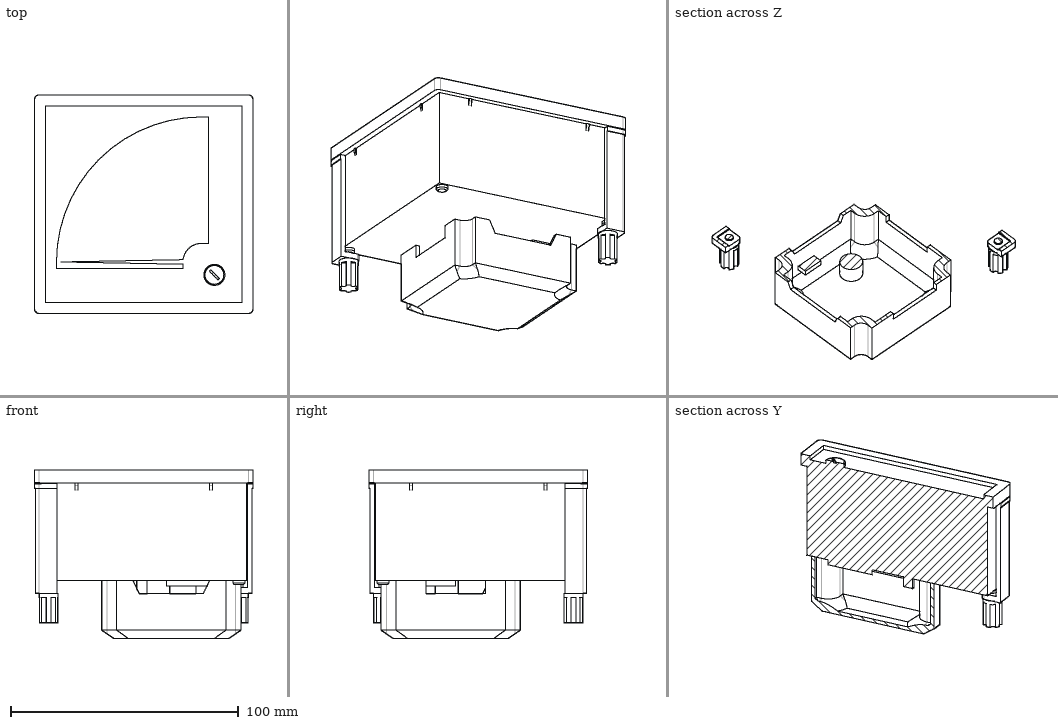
import cadquery as cq
import math


frame_side = 96.0
frame_height = 5.7
frame_corner_radius = 2.0
face_side = 86.3
face_depth = 1.9
housing_side = 90.0
housing_depth = 42.9

rib_width = 1.3
rib_height = 3.1
rib_flat_height = 1.2
rib_reach = 0.6
rib_offset = 29.6

dial_pivot = 25.3
dial_outer_radius = 63.6
dial_inner_radius = 8.2
dial_margin = 3.0
dial_depth = 0.3
pointer_length = 61.6
pointer_half_width = 1.2

adjuster_offset = 31.0
adjuster_radius = 4.6
adjuster_height = 1.7
adjuster_chamfer = 0.5
slot_length = 5.4
slot_width = 0.9
slot_depth = 0.6
slot_angle = -45.0

screw_offset = 41.8
seat_radius = 2.6
seat_height = 1.8
seat_chamfer = 0.7

stud_x = 6.4
stud_y = -13.8
stud_radius = 5.1
stud_length = 9.6
boss_offset = 23.4
boss_radius = 13.4
boss_height = 2.4
lug_x = -3.1
lug_y = -22.9
lug_thickness = 4.6
lug_width = 9.6
lug_height = 4.7

cover_side = 61.2
cover_offset = 12.1
cover_height = 25.4
cover_wall = 1.9
cover_bevel_height = 3.6
cover_bevel_inset = 5.4
cover_notch = 6.6
cover_notch_radius = 4.1
window_height = 5.8
window_top_width = 33.6
window_bottom_width = 28.0
far_window_width = 26.0
far_window_offset = 9.9

clamp_gap = 0.4
clamp_reach = 47.6
clamp_inner_face = 45.5
clamp_leg_end = 38.0
clamp_depth = 48.6
clamp_foot_thickness = 2.7
clamp_corner_radius = 1.6
clamp_foot_radius = 1.4
clamp_head_bottom = 2.5

screw_shaft_radius = 1.8
screw_collar_height = 1.7
knob_radius = 4.2
knob_length = 12.9
groove_count = 6
groove_radius = 1.2


def block(x_min, x_max, y_min, y_max, z_min, z_max):
    """Box given by its limits."""
    size = (x_max - x_min, y_max - y_min, z_max - z_min)
    return cq.Workplane("XY").box(*size, centered=False).translate((x_min, y_min, z_min))


def rod(x, y, radius, z_min, z_max):
    """Vertical cylinder between two heights."""
    return cq.Workplane("XY", origin=(x, y, z_min)).circle(radius).extrude(z_max - z_min)


def square_prism(side, z_min, z_max):
    """Square block centred on the Z axis."""
    return cq.Workplane("XY").workplane(offset=z_min).rect(side, side).extrude(z_max - z_min)



face_level = frame_height - face_depth


def make_scale_window():
    """Quarter ring around the dial pivot with straight margins, leaving the pointer standing."""
    pivot_x = dial_pivot
    pivot_y = -dial_pivot
    right = pivot_x + dial_margin
    bottom = pivot_y - dial_margin
    floor = cq.Workplane("XY").workplane(offset=face_level - dial_depth)
    diagonal = math.sqrt(0.5)
    window = (
        floor.moveTo(pivot_x - dial_outer_radius, bottom)
        .lineTo(pivot_x - dial_outer_radius, pivot_y)
        .threePointArc(
            (pivot_x - dial_outer_radius * diagonal, pivot_y + dial_outer_radius * diagonal),
            (pivot_x, pivot_y + dial_outer_radius),
        )
        .lineTo(right, pivot_y + dial_outer_radius)
        .lineTo(right, pivot_y + dial_inner_radius)
        .lineTo(pivot_x, pivot_y + dial_inner_radius)
        .threePointArc(
            (pivot_x - dial_inner_radius * diagonal, pivot_y + dial_inner_radius * diagonal),
            (pivot_x - dial_inner_radius, pivot_y),
        )
        .lineTo(pivot_x - dial_inner_radius, bottom)
        .close()
        .extrude(dial_depth)
    )
    pointer = (
        floor.moveTo(pivot_x - pointer_length, pivot_y)
        .lineTo(pivot_x, pivot_y + pointer_half_width)
        .lineTo(pivot_x, pivot_y - pointer_half_width)
        .close()
        .extrude(dial_depth)
    )
    return window.cut(pointer)


def make_adjuster():
    """Round zero adjuster with a screwdriver slot along the face diagonal."""
    top = face_level + adjuster_height
    head = rod(0, 0, adjuster_radius, face_level, top).faces(">Z").chamfer(adjuster_chamfer)
    slot = (
        cq.Workplane("XY").workplane(offset=top - slot_depth)
        .rect(slot_length, slot_width)
        .extrude(slot_depth)
        .rotate((0, 0, 0), (0, 0, 1), slot_angle)
    )
    return head.cut(slot).translate((adjuster_offset, -adjuster_offset, 0))


def make_stop_rib(offset):
    """Wedge on the -Y side that runs out downward into the housing wall."""
    wall = -housing_side / 2
    return (
        cq.Workplane("YZ", origin=(offset - rib_width / 2, 0, 0))
        .moveTo(wall, 0)
        .lineTo(wall - rib_reach, 0)
        .lineTo(wall - rib_reach, -rib_flat_height)
        .lineTo(wall, -rib_height)
        .close()
        .extrude(rib_width)
    )


def make_housing():
    frame = square_prism(frame_side, 0, frame_height).edges("|Z").fillet(frame_corner_radius)
    frame = frame.cut(square_prism(face_side, face_level, frame_height))
    housing = frame.union(square_prism(housing_side, -housing_depth, 0))
    housing = housing.cut(make_scale_window()).union(make_adjuster())
    for side_angle in (0, 90, 180, 270):
        for offset in (-rib_offset, rib_offset):
            rib = make_stop_rib(offset).rotate((0, 0, 0), (0, 0, 1), side_angle)
            housing = housing.union(rib)
    stud = rod(stud_x, stud_y, stud_radius, -housing_depth - stud_length, -housing_depth)
    boss = rod(boss_offset, -boss_offset, boss_radius, -housing_depth - boss_height, -housing_depth)
    lug = block(
        lug_x - lug_thickness, lug_x, lug_y - lug_width, lug_y,
        -housing_depth - lug_height, -housing_depth,
    )
    housing = housing.union(stud).union(boss).union(lug)
    for x in (-screw_offset, screw_offset):
        for y in (-screw_offset, screw_offset):
            seat = rod(x, y, seat_radius, -housing_depth - seat_height, -housing_depth)
            housing = housing.union(seat.faces("<Z").chamfer(seat_chamfer))
    return housing



bevel_angle = math.degrees(math.atan2(cover_bevel_inset, cover_bevel_height))


def bevelled_prism(outline, height, angle):
    """Extrude a sketch downward, with the last stretch tapered by the given angle."""
    straight_height = height - cover_bevel_height
    straight = cq.Workplane("XY").placeSketch(outline).extrude(-straight_height)
    tapered = (
        cq.Workplane("XY").workplane(offset=-straight_height)
        .placeSketch(outline)
        .extrude(-cover_bevel_height, taper=angle)
    )
    return straight.union(tapered)


def make_cover_form(inset):
    """Cover shape with every wall moved inward by the inset; its top is at Z = 0."""
    side = cover_side - 2 * inset
    height = cover_height - inset
    form = bevelled_prism(cq.Sketch().rect(side, side), height, bevel_angle)
    notch_side = 2 * (cover_notch + inset)
    notch_outline = (
        cq.Sketch().rect(notch_side, notch_side).vertices().fillet(cover_notch_radius + inset)
    )
    notch = bevelled_prism(notch_outline, height, -bevel_angle)
    corner = cover_side / 2 - inset
    for x in (-corner, corner):
        for y in (-corner, corner):
            form = form.cut(notch.translate((x, y, 0)))
    return form


def make_near_window():
    """Trapezoid opening through the -Y wall, at the cover's own centre."""
    return (
        cq.Workplane("XZ", origin=(0, -cover_side / 2 + cover_wall, 0))
        .moveTo(-window_top_width / 2, 0)
        .lineTo(window_top_width / 2, 0)
        .lineTo(window_bottom_width / 2, -window_height)
        .lineTo(-window_bottom_width / 2, -window_height)
        .close()
        .extrude(cover_wall)
    )


def make_far_window():
    """Rectangular opening through the +Y wall."""
    centre = far_window_offset - cover_offset
    half_width = far_window_width / 2
    wall = cover_side / 2
    return block(
        centre - half_width, centre + half_width, wall - cover_wall, wall, -window_height, 0
    )


def make_cover():
    cover = make_cover_form(0).cut(make_cover_form(cover_wall))
    windows = make_near_window().union(make_far_window())
    cover = cover.cut(windows).cut(windows.rotate((0, 0, 0), (0, 0, 1), -90))
    return cover.translate((cover_offset, -cover_offset, -housing_depth))




def make_clamp():
    """Angle around a housing corner, with a wider head and a foot drilled for the screw."""
    outer = block(
        -clamp_reach, -clamp_leg_end, -clamp_reach, -clamp_leg_end, -clamp_depth, -clamp_gap
    )
    outer = outer.edges("|Z and <X and <Y").fillet(clamp_corner_radius)
    outer = outer.edges("|Z and >X and >Y").fillet(clamp_foot_radius)
    head_reach = frame_side / 2
    head = block(
        -head_reach, -clamp_leg_end, -head_reach, -clamp_leg_end, -clamp_head_bottom, -clamp_gap
    )
    head = head.edges("|Z and <X and <Y").fillet(frame_corner_radius)
    foot_top = clamp_foot_thickness - clamp_depth
    inside = block(
        -clamp_inner_face, -clamp_leg_end, -clamp_inner_face, -clamp_leg_end, foot_top, 0
    )
    hole = rod(-screw_offset, -screw_offset, screw_shaft_radius, -clamp_depth, foot_top)
    return outer.union(head).cut(inside).cut(hole)


def make_screw():
    """Grooved knob below the clamp, with a shaft up to the seat on the housing."""
    knob_bottom = -clamp_depth - knob_length
    screw = rod(0, 0, knob_radius, knob_bottom, -clamp_depth)
    groove_top = -clamp_depth - screw_collar_height
    for index in range(groove_count):
        angle = 2 * math.pi * index / groove_count
        x = knob_radius * math.cos(angle)
        y = knob_radius * math.sin(angle)
        screw = screw.cut(rod(x, y, groove_radius, knob_bottom, groove_top))
    shaft = rod(0, 0, screw_shaft_radius, -clamp_depth, -housing_depth - seat_height)
    return screw.union(shaft).translate((-screw_offset, -screw_offset, 0))


housing = make_housing()
cover = make_cover()
clamps = []
screws = []
for corner_angle in (0, 180):
    clamps.append(make_clamp().rotate((0, 0, 0), (0, 0, 1), corner_angle).val())
    screws.append(make_screw().rotate((0, 0, 0), (0, 0, 1), corner_angle).val())

result = cq.Compound.makeCompound([housing.val(), cover.val(), *clamps, *screws])